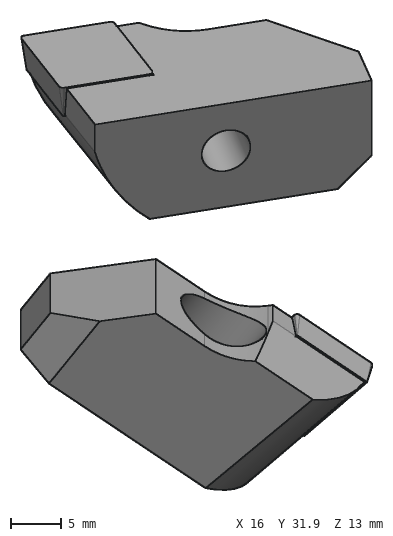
import cadquery as cq
import math

block_back = 31.92
block_height = 12.77
shank_width = 12.5
nose_width = 15.35
back_corner = 7.5
back_chamfer = 3.5
neck_start = 18.42
neck_radius = 8.5
neck_angle = math.radians(45)
front_corner = 3.4
lead_angle = 10.0
nose_relief_angle = 7.4
taper_angle = 7.0

relief_radius = 18.42
relief_center_back = 18.2
relief_center_height = 13.4
relief_tilt = 1.0

hole_y = 16.92
hole_z = 6.95
hole_diameter = 5.0
counterbore_diameter = 8.8
counterbore_floor = 8.6

insert_top = 12.95
insert_thickness = 3.9
insert_left = -16.0
insert_front = -0.05
insert_width = 9.48
insert_side = 9.65
insert_radius = 0.4
insert_bottom_radius = 0.015

seat_height = insert_top - insert_thickness
lead_slope = math.tan(math.radians(lead_angle))
taper_slope = math.tan(math.radians(taper_angle))


def block_blank():
    """Plan outline of the holder, with the neck arc running into a 45 degree line."""
    arc_mid = (
        -shank_width - neck_radius * (1 - math.cos(neck_angle / 2)),
        neck_start - neck_radius * math.sin(neck_angle / 2),
    )
    arc_end = (
        -shank_width - neck_radius * (1 - math.cos(neck_angle)),
        neck_start - neck_radius * math.sin(neck_angle),
    )
    shoulder_y = arc_end[1] - (nose_width + arc_end[0])
    return (
        cq.Workplane("XY")
        .moveTo(0, front_corner)
        .lineTo(0, block_back)
        .lineTo(back_corner - shank_width, block_back)
        .lineTo(-shank_width, block_back - back_corner)
        .lineTo(-shank_width, neck_start)
        .threePointArc(arc_mid, arc_end)
        .lineTo(-nose_width, shoulder_y)
        .lineTo(-nose_width, front_corner - nose_width * lead_slope)
        .close()
        .extrude(block_height)
    )


def back_chamfer_cut():
    """Wedge along the lower back edge."""
    return (
        cq.Workplane("YZ")
        .polyline([(block_back - back_chamfer, 0), (block_back, 0), (block_back, back_chamfer)])
        .close()
        .extrude(-nose_width)
    )


def nose_relief_cut():
    """Wedge that leans the nose side inward below the seat."""
    inset = seat_height * math.tan(math.radians(nose_relief_angle))
    return (
        cq.Workplane("XZ")
        .polyline([(-nose_width, 0), (inset - nose_width, 0), (-nose_width, seat_height)])
        .close()
        .extrude(-block_back)
    )


def front_relief_cut():
    """Material under the front face that lies in front of the tilted cylinder."""
    lead = math.radians(lead_angle)
    tilt = math.radians(relief_tilt)
    axis = cq.Vector(
        math.cos(lead) * math.cos(tilt), math.sin(lead) * math.cos(tilt), math.sin(tilt)
    )
    nose_front = front_corner - nose_width * lead_slope
    center = cq.Vector(-nose_width, nose_front + relief_center_back, relief_center_height)
    margin = nose_width / 2
    cylinder = cq.Solid.makeCylinder(
        relief_radius, nose_width + 2 * margin, center - axis * margin, axis
    )
    zone = (
        cq.Workplane("XY")
        .polyline([
            (-nose_width, nose_front),
            (0, front_corner),
            (0, front_corner + relief_center_back / 2),
            (-nose_width, nose_front + relief_center_back / 2),
        ])
        .close()
        .extrude(block_height)
    )
    return zone.cut(cq.Workplane(cylinder))


def screw_hole_cut():
    """Through hole and its counterbore, both along X."""
    plane = cq.Workplane("YZ").center(hole_y, hole_z)
    through = plane.circle(hole_diameter / 2).extrude(-nose_width)
    counterbore = (
        plane.workplane(offset=-counterbore_floor)
        .circle(counterbore_diameter / 2)
        .extrude(counterbore_floor - nose_width)
    )
    return through.union(counterbore)


def insert_outline(inset, z):
    """Parallelogram with every side moved inward by inset, at height z."""
    slant_inset = inset / math.cos(math.radians(lead_angle))
    width = insert_width - 2 * inset
    side = insert_side - 2 * slant_inset
    front = insert_front + slant_inset + inset * lead_slope
    left = insert_left + inset
    rise = width * lead_slope
    return (
        cq.Workplane("XY", origin=(left, front, z))
        .polyline([(0, 0), (width, rise), (width, rise + side), (0, side)])
        .close()
    )


def tapered_insert(top_radius=0, bottom_radius=0):
    """Insert body, with sharp corners when no radii are given."""
    taper_inset = insert_thickness * taper_slope
    top = insert_outline(0, insert_top).wire().val()
    bottom = insert_outline(taper_inset, seat_height).wire().val()
    if top_radius:
        top = top.fillet2D(top_radius, top.Vertices())
        bottom = bottom.fillet2D(bottom_radius, bottom.Vertices())
    return cq.Workplane(cq.Solid.makeLoft([bottom, top], True))


holder = (
    block_blank()
    .cut(back_chamfer_cut())
    .cut(nose_relief_cut())
    .cut(front_relief_cut())
    .cut(screw_hole_cut())
    .cut(tapered_insert())
)
insert = tapered_insert(insert_radius, insert_bottom_radius)

result = cq.Compound.makeCompound([holder.val(), insert.val()])